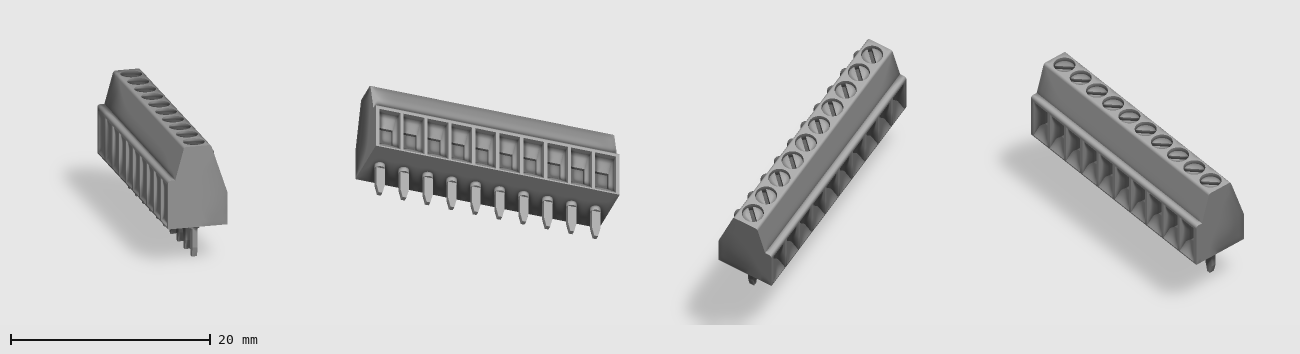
import cadquery as cq
import math


contact_count = 10
contact_pitch = 2.54
end_margin = 1.5

body_length = (contact_count - 1) * contact_pitch + 2 * end_margin
body_depth = 6.2
body_height = 8.5
front_y = -body_depth / 2
back_y = body_depth / 2
back_wall_height = 3.3
top_back_y = 1.36
top_front_y = -1.42
ledge_height = 5.1
ledge_back_y = -2.36
edge_radius = 0.3

mouth_width = 2.2
mouth_bottom_z = 0.15
mouth_top_z = 4.58
mouth_depth = 1.0
mouth_radius = 0.3
mouth_arc_angle = 60
funnel_end_depth = 1.17
neck_width = 1.4
neck_bottom_z = 1.3
neck_top_z = 3.12
neck_depth = 1.5

screw_hole_diameter = 2.2
screw_hole_depth = 1.0
screw_head_diameter = 2.1
screw_head_recess = 0.4
screw_slot_width = 0.46
screw_slot_angle = 45

stud_diameter = 1.1
stud_y = 1.55
stud_cylinder_top_z = 7.15

collar_diameter = 1.1
collar_height = 0.5
pin_width = 0.9
pin_thickness = 0.54
pin_length = 3.5
pin_tip_length = 1.0
pin_tip_width = 0.4

contact_positions = [(i - (contact_count - 1) / 2) * contact_pitch for i in range(contact_count)]


def make_housing():
    """Side profile in the YZ plane, extruded along X, with the three long outer edges rounded."""
    housing = (
        cq.Workplane("YZ")
        .moveTo(front_y, 0)
        .lineTo(back_y, 0)
        .lineTo(back_y, back_wall_height)
        .lineTo(top_back_y, body_height)
        .lineTo(top_front_y, body_height)
        .lineTo(ledge_back_y, ledge_height)
        .lineTo(front_y, ledge_height)
        .close()
        .extrude(body_length / 2, both=True)
    )
    top_edges = housing.faces(">Z").edges("|X")
    ledge_edge = housing.faces("<Y").edges(">Z")
    return housing.newObject(top_edges.vals() + ledge_edge.vals()).edges().fillet(edge_radius)


def make_wire_entry():
    """Void of one wire entry: its plan outline and its side outline, extruded and intersected."""
    half_mouth = mouth_width / 2
    half_neck = neck_width / 2
    arc_start_y = front_y + mouth_depth - mouth_radius
    funnel_end_y = front_y + funnel_end_depth
    neck_end_y = front_y + neck_depth

    def side_arc_point(angle):
        turn = math.radians(angle)
        x = half_mouth - mouth_radius * (1 - math.cos(turn))
        return x, arc_start_y + mouth_radius * math.sin(turn)

    plan = (
        cq.Workplane("XY")
        .moveTo(0, front_y)
        .lineTo(half_mouth, front_y)
        .lineTo(half_mouth, arc_start_y)
        .threePointArc(side_arc_point(mouth_arc_angle / 2), side_arc_point(mouth_arc_angle))
        .lineTo(half_neck, funnel_end_y)
        .lineTo(half_neck, neck_end_y)
        .lineTo(0, neck_end_y)
        .mirrorY()
        .extrude(body_height)
    )
    side = (
        cq.Workplane("YZ")
        .moveTo(front_y, mouth_bottom_z)
        .lineTo(funnel_end_y, neck_bottom_z)
        .lineTo(neck_end_y, neck_bottom_z)
        .lineTo(neck_end_y, neck_top_z)
        .lineTo(funnel_end_y, neck_top_z)
        .lineTo(front_y + mouth_depth, mouth_top_z - mouth_radius)
        .tangentArcPoint((arc_start_y, mouth_top_z), relative=False)
        .lineTo(front_y, mouth_top_z)
        .close()
        .extrude(half_mouth, both=True)
    )
    return plan.intersect(side)


def make_screw_void():
    """Screw hole around a recessed, slotted screw head that stands on the hole floor."""
    floor_z = body_height - screw_hole_depth
    head_height = screw_hole_depth - screw_head_recess
    floor_plane = cq.Workplane("XY").workplane(offset=floor_z)
    hole = floor_plane.circle(screw_hole_diameter / 2).extrude(screw_hole_depth)
    head = floor_plane.circle(screw_head_diameter / 2).extrude(head_height)
    slot = (
        floor_plane.transformed(rotate=(0, 0, screw_slot_angle))
        .rect(screw_hole_diameter, screw_slot_width)
        .extrude(head_height)
    )
    return hole.cut(head.cut(slot))


def make_stud():
    """Upright stud with a hemispherical top, embedded in the housing from the seating plane."""
    radius = stud_diameter / 2
    return (
        cq.Workplane("XZ", origin=(0, stud_y, 0))
        .lineTo(radius, 0)
        .lineTo(radius, stud_cylinder_top_z)
        .tangentArcPoint((0, stud_cylinder_top_z + radius), relative=False)
        .close()
        .revolve(360, (0, 0, 0), (0, 1, 0))
    )


def make_pin():
    """Round collar under the housing and a flat pin with a tapered tip."""
    collar = cq.Workplane("XY").circle(collar_diameter / 2).extrude(-collar_height)
    taper_start_z = pin_tip_length - pin_length
    blade = (
        cq.Workplane("XZ")
        .lineTo(pin_width / 2, 0)
        .lineTo(pin_width / 2, taper_start_z)
        .lineTo(pin_tip_width / 2, -pin_length)
        .lineTo(0, -pin_length)
        .mirrorY()
        .extrude(pin_thickness / 2, both=True)
    )
    return collar.union(blade)


def along_row(shape):
    """One copy of the shape at every contact position."""
    copies = cq.Workplane("XY")
    for x in contact_positions:
        copies = copies.add(shape.translate((x, 0, 0)))
    return copies.combine()


result = (
    make_housing()
    .union(along_row(make_stud()))
    .cut(along_row(make_wire_entry()))
    .cut(along_row(make_screw_void()))
    .union(along_row(make_pin()))
)